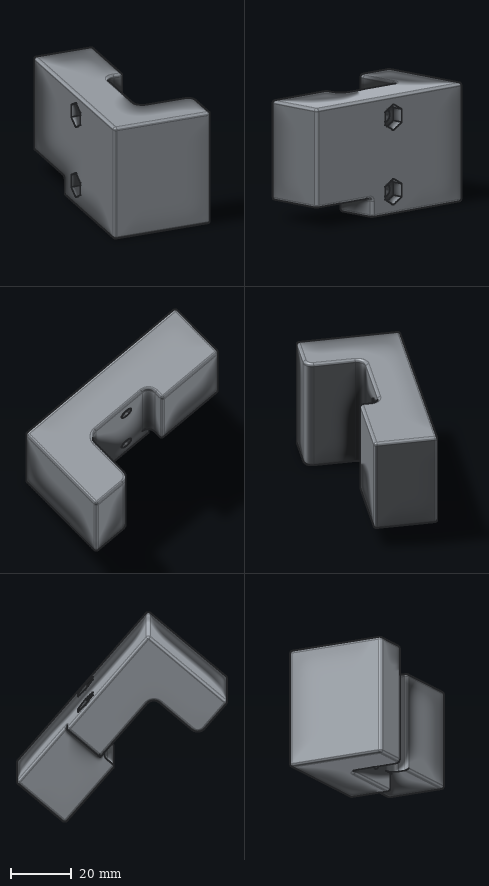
import cadquery as cq
import math

length = 67.1
depth = 34.8
height = 40.0

shoulder_end = 25.4
shoulder_depth = 21.4
channel_depth = 14.9
post_start = 52.05
corner_radius = 3.0

step_height = 6.5

edge_radius = 1.0

bolt_x = 35.35
bolt_spacing = 25.0
bolt_diameter = 4.3
nut_across_flats = 7.6
nut_depth = 4.0

selection_margin = 0.1


def rear_corner(x, y):
    """Select the full-height vertical edge at one corner of the rear outline."""
    return cq.selectors.BoxSelector(
        (x - selection_margin, y - selection_margin, 0),
        (x + selection_margin, y + selection_margin, height),
    )


def make_body():
    """Extrude the outline, round its large corners and cut the step."""
    outline = [
        (0, 0),
        (length, 0),
        (length, depth),
        (post_start, depth),
        (post_start, channel_depth),
        (shoulder_end, channel_depth),
        (shoulder_end, shoulder_depth),
        (0, shoulder_depth),
    ]
    body = cq.Workplane("XY").polyline(outline).close().extrude(height)
    for x, y in [(post_start, depth), (post_start, channel_depth), (shoulder_end, channel_depth)]:
        body = body.edges("|Z").edges(rear_corner(x, y)).fillet(corner_radius)
    step = cq.Workplane("XY").box(shoulder_end, depth, step_height, centered=False)
    below_corner = (
        cq.Workplane("XY", origin=(shoulder_end, channel_depth, 0))
        .box(corner_radius, depth, step_height, centered=False)
    )
    return body.cut(step).cut(below_corner)


def is_outer_edge(edge):
    """Tell whether an edge belongs to the rounded outside of the block."""
    box = edge.BoundingBox()
    tolerance = 0.01
    on_front = box.ymax < tolerance
    on_left = box.xmax < tolerance
    on_right = box.xmin > length - tolerance
    on_top = box.zmin > height - tolerance
    on_bottom = box.zmax < tolerance
    on_shoulder_back = box.ymin > shoulder_depth - tolerance and box.xmax < shoulder_end + tolerance
    return on_front or on_left or on_right or on_top or on_bottom or on_shoulder_back


def round_edges(body):
    """Round the inner corner of the step, then the outer edges."""
    corner = cq.selectors.BoxSelector(
        (shoulder_end - selection_margin, 0, step_height - selection_margin),
        (shoulder_end + selection_margin, channel_depth, step_height + selection_margin),
    )
    body = body.edges("|Y").edges(corner).fillet(edge_radius)
    outer = [edge for edge in body.edges().vals() if is_outer_edge(edge)]
    return body.newObject(outer).fillet(edge_radius)


def cut_bolts(body):
    """Drill the bolt holes through the channel wall and sink the nut pockets."""
    nut_across_corners = nut_across_flats / math.cos(math.pi / 6)
    for side in (-1, 1):
        bolt_z = height / 2 + side * bolt_spacing / 2
        front = cq.Workplane("XZ", origin=(bolt_x, 0, bolt_z))
        hole = front.circle(bolt_diameter / 2).extrude(-channel_depth)
        nut = front.transformed(rotate=(0, 0, 90)).polygon(6, nut_across_corners).extrude(-nut_depth)
        body = body.cut(hole).cut(nut)
    return body


result = cut_bolts(round_edges(make_body()))